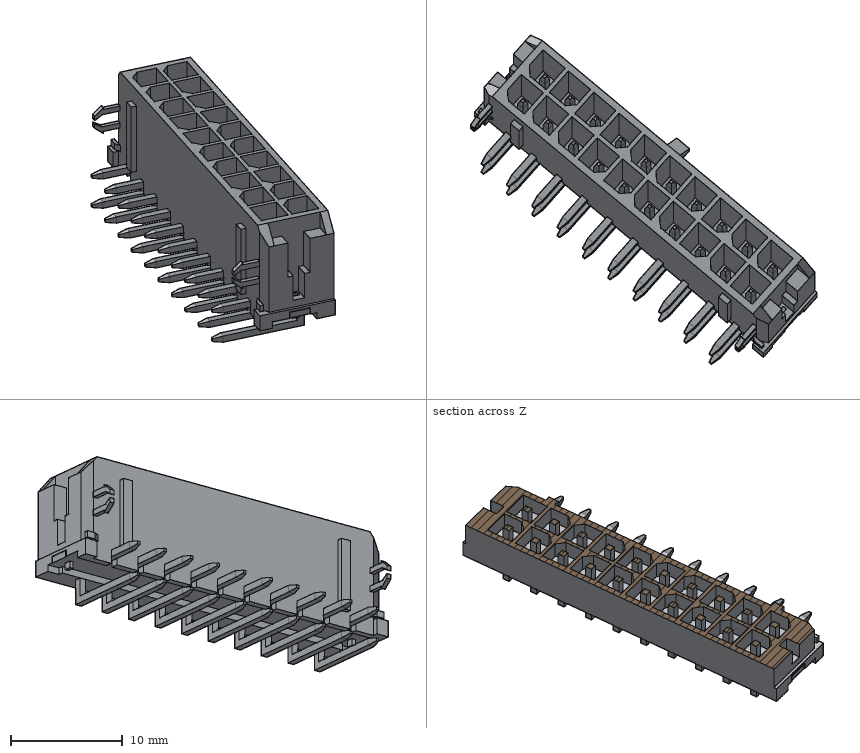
import cadquery as cq


housing_height = 9.9
housing_depth = 6.87
housing_half_length = 16.83
end_wall_x = 15.42
end_block_top = 8.25
corner_chamfer_x = 1.0
corner_chamfer_y = 0.5
front_gusset = 1.03
rear_gusset = 0.75

flange_half_length = 17.1
flange_height = 1.55
flange_front = -0.5
flange_inner_x = housing_half_length - corner_chamfer_x
channel_front = 0.72
channel_rear = 4.58
flange_notch_rear = 5.05
flange_recess_width = 2.02
flange_recess_height = 0.6
flange_recess_depth = 0.07

slot_center_y = housing_depth / 2
wide_slot_width = 2.15
wide_slot_bottom = 4.75
narrow_slot_width = 1.13
narrow_slot_bottom = 2.25

columns = 10
pin_span = 27.0
pitch = pin_span / (columns - 1)
column_xs = [column * pitch - pin_span / 2 for column in range(columns)]
front_row_y = 1.95
rear_row_y = front_row_y + pitch
pin_width = 0.65
pin_tip_width = 0.27
pin_tip_length = 0.95
contact_top = 7.52
tail_end_y = -3.63
front_tail_z = 0.95
rear_tail_z = front_tail_z - pitch
channel_height = front_tail_z - pin_width / 2

cavity_size = 2.6
cavity_floor = 2.25
key_chamfer = 0.72
front_row_keys = "LLLRRLLRL-"
rear_row_keys = "LRRRLLRRLL"

latch_width = 1.5
latch_reach = 1.45
latch_tip_top = 7.73
latch_ramp_top = 9.27
latch_underside = 6.9
latch_root_chamfer = 0.38

rib_x = 12.3
rib_width = 1.03

clip_inner_x = 15.42
clip_thickness = 0.45
clip_center_z = 5.25
prong_inner = 0.6
prong_outer = 1.13
barb_outer = 1.35
barb_y = -1.65
prong_bend_y = -1.78
prong_tip_y = -2.5
prong_tip_inner = 0.17
prong_tip_outer = 0.6

tab_outer_x = 16.75
tab_inner_x = 15.32
tab_bend_x = 15.95
tab_reach = 0.35
tab_bottom = 1.75
tab_height = 0.6
peg_center_x = 15.95
peg_thickness = 0.38
peg_width = 0.7
peg_stand_up = 0.07

SIDES = (-1, 1)


def box(x_range, y_range, z_range):
    """Axis-aligned block; each range may be given in either order."""
    ranges = [sorted(limits) for limits in (x_range, y_range, z_range)]
    size = [high - low for low, high in ranges]
    corner = cq.Vector(*[low for low, high in ranges])
    return cq.Workplane(obj=cq.Solid.makeBox(*size, corner))


def centered(middle, width):
    return (middle - width / 2, middle + width / 2)


def prism_x(yz_points, x_start, length):
    """Extrude a YZ outline along +X."""
    return cq.Workplane("YZ", origin=(x_start, 0, 0)).polyline(yz_points).close().extrude(length)


def prism_z(xy_points, z_start, height):
    """Extrude an XY outline upward."""
    return cq.Workplane("XY", origin=(0, 0, z_start)).polyline(xy_points).close().extrude(height)


def make_body():
    """Block with chamfered front corners and beveled upper ends."""
    end_x = housing_half_length
    plan = prism_z(
        [
            (-end_x + corner_chamfer_x, 0),
            (end_x - corner_chamfer_x, 0),
            (end_x, corner_chamfer_y),
            (end_x, housing_depth),
            (-end_x, housing_depth),
            (-end_x, corner_chamfer_y),
        ],
        0,
        housing_height,
    )
    elevation = (
        cq.Workplane("XZ")
        .polyline(
            [
                (-end_x, 0),
                (end_x, 0),
                (end_x, end_block_top),
                (end_wall_x, housing_height),
                (-end_wall_x, housing_height),
                (-end_x, end_block_top),
            ]
        )
        .close()
        .extrude(-housing_depth)
    )
    return plan.intersect(elevation)


def make_flange(side):
    flange = box(
        (side * flange_inner_x, side * flange_half_length),
        (flange_front, housing_depth),
        (0, flange_height),
    )
    recess = box(
        (side * (flange_half_length - flange_recess_depth), side * flange_half_length),
        centered(slot_center_y, flange_recess_width),
        (channel_height, channel_height + flange_recess_height),
    )
    return flange.cut(recess)


def make_underside_channel():
    """Channel along the whole underside, a little wider where it cuts through the flanges."""
    channel = box(
        (-flange_half_length, flange_half_length),
        (channel_front, channel_rear),
        (0, channel_height),
    )
    for side in SIDES:
        notch = box(
            (side * flange_inner_x, side * flange_half_length),
            (channel_rear, flange_notch_rear),
            (0, channel_height),
        )
        channel = channel.union(notch)
    return channel


def make_end_opening(side):
    """Space above the end block between its gussets, with the stepped slot below it."""
    x_range = (side * end_wall_x, side * housing_half_length)
    opening = box(
        x_range,
        (front_gusset, housing_depth - rear_gusset),
        (end_block_top, housing_height),
    )
    wide_slot = box(
        x_range,
        centered(slot_center_y, wide_slot_width),
        (wide_slot_bottom, end_block_top),
    )
    narrow_slot = box(
        x_range,
        centered(slot_center_y, narrow_slot_width),
        (narrow_slot_bottom, wide_slot_bottom),
    )
    return opening.union(wide_slot).union(narrow_slot)


def make_cavity(x, y, key):
    """Square contact cavity; its keyed corner, if any, is at the front left or right."""
    cavity = box(centered(x, cavity_size), centered(y, cavity_size), (cavity_floor, housing_height))
    if key == "L":
        cavity = cavity.edges("|Z and <X and <Y").chamfer(key_chamfer)
    elif key == "R":
        cavity = cavity.edges("|Z and >X and <Y").chamfer(key_chamfer)
    return cavity


def make_latch():
    tip_y = housing_depth + latch_reach
    outline = [
        (housing_depth, latch_ramp_top),
        (tip_y, latch_tip_top),
        (tip_y, latch_underside),
        (housing_depth + latch_root_chamfer, latch_underside),
        (housing_depth, latch_underside - latch_root_chamfer),
    ]
    return prism_x(outline, -latch_width / 2, latch_width)


def make_rib(side):
    return box(
        centered(side * rib_x, rib_width),
        (flange_front, 0),
        (flange_height, end_block_top),
    )


def make_tapered_tip(plane):
    """Pyramid-shaped pin end growing along the plane's normal."""
    return (
        cq.Workplane(plane)
        .rect(pin_width, pin_width)
        .workplane(offset=pin_tip_length)
        .rect(pin_tip_width, pin_tip_width)
        .loft()
    )


def make_pin(x, row_y, tail_z):
    """L-shaped square contact, tapered at the mating end and at the board end."""
    x_range = centered(x, pin_width)
    leg_top = contact_top - pin_tip_length
    tail_front = tail_end_y + pin_tip_length
    leg = box(x_range, centered(row_y, pin_width), (tail_z - pin_width / 2, leg_top))
    tail = box(x_range, (tail_front, row_y), centered(tail_z, pin_width))
    contact_tip = make_tapered_tip(cq.Plane((x, row_y, leg_top), (1, 0, 0), (0, 0, 1)))
    tail_tip = make_tapered_tip(cq.Plane((x, tail_front, tail_z), (1, 0, 0), (0, -1, 0)))
    return leg.union(tail).union(contact_tip).union(tail_tip)


def make_clip(side):
    """Pair of barbed prongs that converge toward the tips."""
    outline = [
        (0, prong_outer),
        (barb_y, prong_outer),
        (barb_y, barb_outer),
        (prong_tip_y, prong_tip_outer),
        (prong_tip_y, prong_tip_inner),
        (prong_bend_y, prong_inner),
        (0, prong_inner),
    ]
    x_start = min(side * clip_inner_x, side * (clip_inner_x + clip_thickness))
    upper = prism_x([(y, clip_center_z + offset) for y, offset in outline], x_start, clip_thickness)
    lower = prism_x([(y, clip_center_z - offset) for y, offset in outline], x_start, clip_thickness)
    return upper.union(lower)


def make_tab(side):
    """Thin tab over the flange that slopes back into the front face."""
    outline = [
        (side * tab_outer_x, 0),
        (side * tab_outer_x, -tab_reach),
        (side * tab_bend_x, -tab_reach),
        (side * tab_inner_x, 0),
    ]
    return prism_z(outline, tab_bottom, tab_height)


def make_peg(side):
    """Peg through the slot floor down to the underside of the housing."""
    return box(
        centered(side * peg_center_x, peg_thickness),
        centered(slot_center_y, peg_width),
        (0, narrow_slot_bottom + peg_stand_up),
    )


result = make_body()
for side in SIDES:
    result = result.cut(make_end_opening(side)).union(make_flange(side))

for x, front_key, rear_key in zip(column_xs, front_row_keys, rear_row_keys):
    result = result.cut(make_cavity(x, front_row_y, front_key))
    result = result.cut(make_cavity(x, rear_row_y, rear_key))
    result = result.cut(box(centered(x, pin_width), (0, channel_front), (0, channel_height)))

result = result.cut(make_underside_channel())

result = result.union(make_latch())
for side in SIDES:
    result = result.union(make_rib(side))
    result = result.union(make_clip(side))
    result = result.union(make_tab(side))
    result = result.union(make_peg(side))

for x in column_xs:
    result = result.union(make_pin(x, front_row_y, front_tail_z))
    result = result.union(make_pin(x, rear_row_y, rear_tail_z))